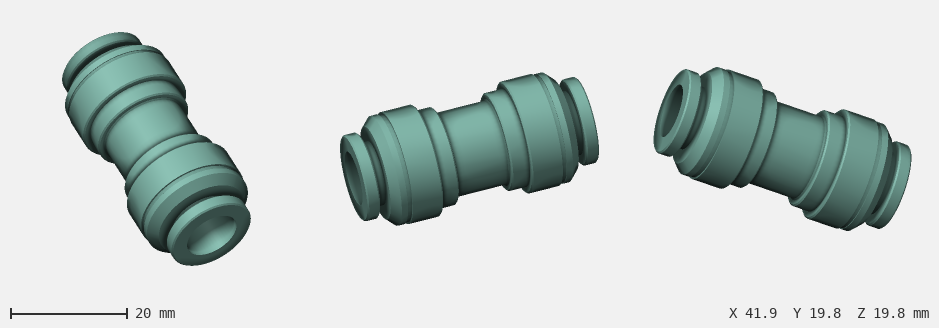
import cadquery as cq

length = 41.9
half_length = length / 2

bore_diameter = 9.5
neck_diameter = 11.3
shaft_diameter = 14.88
flange_diameter = 15.25
collar_diameter = 17.35
groove_diameter = 19.05
rim_diameter = 19.45
body_diameter = 19.82

flange_width = 2.3
neck_length = 1.65
cone_length = 1.5
rim_width = 1.15
groove_width = 0.8
body_length = 5.57
collar_length = 3.23

edge_chamfer = 0.25
shaft_chamfer = 0.25

neck_start = flange_width
cone_start = neck_start + neck_length
rim_start = cone_start + cone_length
groove_start = rim_start + rim_width
body_start = groove_start + groove_width
collar_start = body_start + body_length
shaft_start = collar_start + collar_length


def ring(start, width, diameter):
    """Solid disc starting at the given distance from the left end."""
    plane = cq.Workplane("YZ", origin=(start - half_length, 0, 0))
    return plane.circle(diameter / 2).extrude(width)


def end_flange():
    return ring(0, flange_width, flange_diameter).edges().chamfer(edge_chamfer)


def nose():
    """Rim with a 45-degree cone towards the neck."""
    blank = ring(cone_start, cone_length + rim_width, rim_diameter)
    return blank.faces("<X").edges().chamfer(cone_length)


def body():
    return ring(body_start, body_length, body_diameter).faces(">X").edges().chamfer(edge_chamfer)


def collar():
    return ring(collar_start, collar_length, collar_diameter).faces(">X").edges().chamfer(edge_chamfer)


def shaft_transition():
    """Short 45-degree flare where the shaft meets the collar."""
    plane = cq.Workplane("YZ", origin=(shaft_start - half_length, 0, 0))
    base = plane.circle(shaft_diameter / 2 + shaft_chamfer)
    return base.workplane(offset=shaft_chamfer).circle(shaft_diameter / 2).loft(ruled=True)


def left_end():
    """All stepped features of one end, outside the plain shaft."""
    end = ring(neck_start, neck_length, neck_diameter)
    end = end.union(ring(groove_start, groove_width, groove_diameter))
    for feature in (end_flange(), nose(), body(), collar(), shaft_transition()):
        end = end.union(feature)
    return end


end = left_end()
shaft = ring(collar_start, length - 2 * collar_start, shaft_diameter)
coupling = shaft.union(end).union(end.mirror("YZ"))
result = coupling.cut(ring(0, length, bore_diameter))